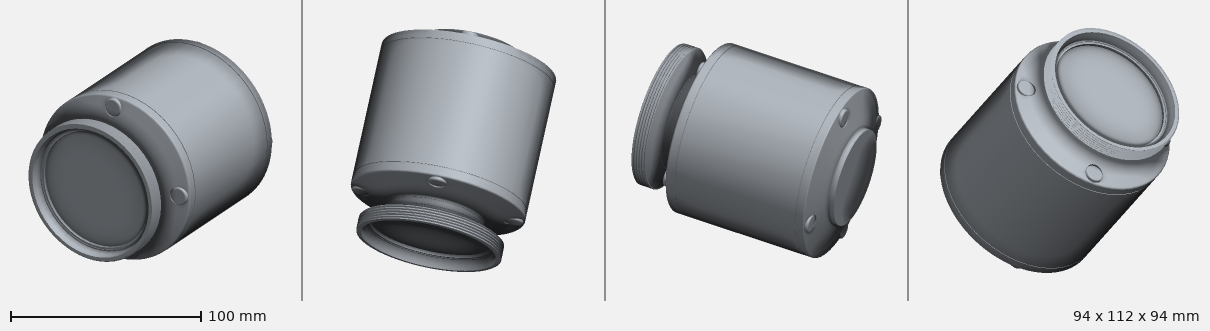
import cadquery as cq
total_length = 112.0

barrel_radius = 46.98
barrel_front = 23.7
barrel_rear = 103.7
front_rim_fillet = 1.2
rear_rim_fillet = 0.7
barrel_groove_width = 0.6
barrel_groove_depth = 0.3
barrel_groove_centers = (29.0, 98.9)

neck_radius = 26.5
cone_height = 5.3
cone_root_fillet = 0.9
neck_groove_width = 0.6
neck_groove_depth = 0.2
neck_groove_centers = (13.4, 17.0)

flare_shoulder = 12.2
flare_small_radius = 27.1
thread_length = 8.2
thread_root_radius = 38.3
thread_crest_radius = 39.1
thread_turns = 5.5
thread_pitch = thread_length / thread_turns
thread_start = -1.0
ridge_gap = 0.1
ridge_embed = 0.1

mouth_radius = 36.4
mouth_inner_radius = 35.0
mouth_depth = 5.5
step_radius = 34.2
step_depth = 5.8
floor_radius = 32.9
floor_depth = 7.5

head_count = 4
head_radius = 5.0
head_circle_radius = 41.1
head_edge_fillet = 1.0
head_rise = 2.2
head_depth = 4.5


def turned(points):
    """Revolve a closed outline of (radius, y) points about the Y axis."""
    return cq.Workplane("XY").polyline(points).close().revolve(360, (0, 0, 0), (0, 1, 0))


def disc(radius, y_start, y_end, x=0.0, z=0.0):
    """A cylinder along Y between two stations."""
    circle = cq.Workplane("XZ", origin=(x, y_start, z)).circle(radius)
    return circle.extrude(y_start - y_end)


def ring(outer_radius, depth, width, center):
    """A square-edged ring lying just below a cylindrical surface."""
    y_start = center - width / 2
    y_end = center + width / 2
    clearance = 0.6
    outside = disc(outer_radius + clearance, y_start, y_end)
    return outside.cut(disc(outer_radius - depth, y_start, y_end))


def housing():
    """Barrel with its two cones and necks."""
    solid = turned([
        (0, flare_shoulder),
        (neck_radius, flare_shoulder),
        (neck_radius, barrel_front - cone_height),
        (barrel_radius, barrel_front),
        (barrel_radius, barrel_rear),
        (neck_radius, barrel_rear + cone_height),
        (neck_radius, total_length),
        (0, total_length),
    ])
    barrel_rims = cq.selectors.RadiusNthSelector(-1)
    solid = solid.edges(barrel_rims).edges("<Y").fillet(front_rim_fillet)
    solid = solid.edges(barrel_rims).edges(">Y").fillet(rear_rim_fillet)
    neck_circles = cq.selectors.RadiusNthSelector(0)
    solid = solid.edges(neck_circles).edges("not (<Y or >Y)").fillet(cone_root_fillet)
    for center in barrel_groove_centers:
        solid = solid.cut(ring(barrel_radius, barrel_groove_depth, barrel_groove_width, center))
    for center in neck_groove_centers:
        solid = solid.cut(ring(neck_radius, neck_groove_depth, neck_groove_width, center))
    return solid


def mouth():
    """Flared mouth up to the thread root, without its recess."""
    return turned([
        (0, 0),
        (thread_root_radius, 0),
        (thread_root_radius, thread_length),
        (flare_small_radius, flare_shoulder),
        (0, flare_shoulder),
    ])


def thread():
    """Right-handed triangular ridge wound around the mouth, trimmed flush at both ends."""
    base_radius = thread_root_radius - ridge_embed
    half_width = (thread_pitch - ridge_gap) / 2
    height = thread_length + half_width - thread_start
    path = cq.Workplane(obj=cq.Wire.makeHelix(thread_pitch, height, base_radius))
    outline = cq.Workplane("XZ").polyline([
        (base_radius, -half_width),
        (thread_crest_radius, 0),
        (base_radius, half_width),
    ]).close()
    ridge = outline.sweep(path, isFrenet=True)
    ridge = ridge.rotate((0, 0, 0), (1, 0, 0), -90).translate((0, thread_start, 0))
    return ridge.intersect(disc(barrel_radius, 0, thread_length))


def recess():
    """Tapered mouth bore with a narrow step and a flat floor."""
    return turned([
        (0, 0),
        (mouth_radius, 0),
        (mouth_inner_radius, mouth_depth),
        (step_radius, mouth_depth),
        (step_radius, step_depth),
        (floor_radius, step_depth),
        (floor_radius, floor_depth),
        (0, floor_depth),
    ])


def with_screw_heads(solid, barrel_end, outward):
    """Sink rounded screw heads into one cone; outward is -1 at the front and +1 at the rear."""
    top = barrel_end + outward * head_rise
    shoulder = top - outward * head_edge_fillet
    bottom = top - outward * head_depth
    pocket_end = barrel_end + outward * cone_height
    for index in range(head_count):
        angle = 360 / head_count * index
        pocket = disc(head_radius, shoulder, pocket_end, x=head_circle_radius)
        head = disc(head_radius, bottom, top, x=head_circle_radius)
        head = head.faces("<Y" if outward < 0 else ">Y").edges().fillet(head_edge_fillet)
        solid = solid.cut(pocket.rotate((0, 0, 0), (0, 1, 0), angle))
        solid = solid.union(head.rotate((0, 0, 0), (0, 1, 0), angle))
    return solid


body = with_screw_heads(housing(), barrel_front, -1)
body = with_screw_heads(body, barrel_rear, 1)
threaded_mouth = mouth().union(thread()).cut(recess())
result = body.cut(recess()).union(threaded_mouth)